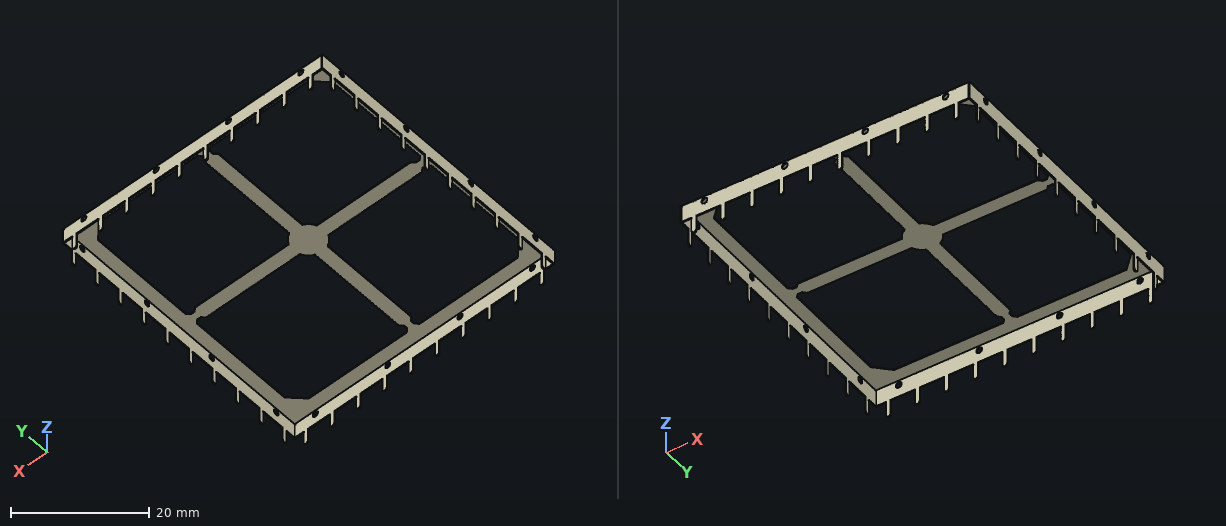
import cadquery as cq

side = 50.4
height = 6.1
sheet = 0.2
bend_radius = 0.25

wall_height = 3.2
wall_bottom = height - wall_height
corner_slit = 0.05
hole_diameter = 1.0
hole_pitch = 14.0
holes_per_wall = 4
hole_drop = 1.0

pins_per_wall = 10
pin_row_length = 45.7
pin_width = 0.8

rim_width = 2.5
opening_chamfer = 2.4
bar_width = 2.5
neck_width = 1.4
neck_length = 1.8
rim_corner = 0.5
hub_diameter = 6.0

cutter_overlap = 0.2
pin_overlap = 0.2

half_side = side / 2
half_opening = half_side - rim_width
half_bar = bar_width / 2
half_neck = neck_width / 2
neck_taper = half_bar - half_neck
inner_side = side - 2 * sheet
cutter_depth = sheet + 2 * cutter_overlap
pin_pitch = pin_row_length / (pins_per_wall - 1)


def row(count, pitch):
    """Evenly spaced places, centred on zero."""
    return [(i - (count - 1) / 2) * pitch for i in range(count)]


def on_four_sides(shape):
    """The shape together with its copies turned by quarter turns about the Z axis."""
    copies = cq.Workplane("XY")
    for quarter in range(4):
        copies = copies.add(shape.rotate((0, 0, 0), (0, 0, 1), 90 * quarter))
    return copies.combine()


def make_shell():
    """Square tray, open below, with a rounded bend around its top."""
    outside = (
        cq.Workplane("XY").workplane(offset=wall_bottom)
        .rect(side, side).extrude(wall_height)
        .faces(">Z").edges().fillet(bend_radius)
    )
    inside = (
        cq.Workplane("XY").workplane(offset=wall_bottom)
        .rect(inner_side, inner_side).extrude(wall_height - sheet)
    )
    return outside.cut(inside)


def make_openings():
    """Four windows that leave the rim, the necked cross bars and the round hub."""
    window = (
        cq.Workplane("XY").workplane(offset=height - cutter_overlap - sheet)
        .moveTo(half_bar, half_bar)
        .lineTo(half_opening - neck_length, half_bar)
        .lineTo(half_opening - neck_length + neck_taper, half_neck)
        .lineTo(half_opening - rim_corner, half_neck)
        .lineTo(half_opening, half_neck + rim_corner)
        .lineTo(half_opening, half_opening - opening_chamfer)
        .lineTo(half_opening - opening_chamfer, half_opening)
        .lineTo(half_neck + rim_corner, half_opening)
        .lineTo(half_neck, half_opening - rim_corner)
        .lineTo(half_neck, half_opening - neck_length + neck_taper)
        .lineTo(half_bar, half_opening - neck_length)
        .close().extrude(cutter_depth)
    )
    hub = (
        cq.Workplane("XY").workplane(offset=height - cutter_overlap - sheet)
        .circle(hub_diameter / 2).extrude(cutter_depth)
    )
    return on_four_sides(window.cut(hub))


def make_pins():
    """Round-tipped pins hanging from the -Y wall, flush with its faces."""
    tip_radius = pin_width / 2
    pin = (
        cq.Workplane("XZ", origin=(0, sheet - half_side, 0))
        .moveTo(-tip_radius, wall_bottom + pin_overlap)
        .lineTo(-tip_radius, tip_radius)
        .threePointArc((0, 0), (tip_radius, tip_radius))
        .lineTo(tip_radius, wall_bottom + pin_overlap)
        .close().extrude(sheet)
    )
    pins = cq.Workplane("XY")
    for x in row(pins_per_wall, pin_pitch):
        pins = pins.add(pin.translate((x, 0, 0)))
    return pins.combine()


def make_holes():
    """Round holes through the -Y wall, just below the top plate."""
    places = [(x, height - hole_drop) for x in row(holes_per_wall, hole_pitch)]
    return (
        cq.Workplane("XZ", origin=(0, sheet + cutter_overlap - half_side, 0))
        .pushPoints(places).circle(hole_diameter / 2).extrude(cutter_depth)
    )


def make_slits():
    """Corner slits that part the X-running walls from the Y-running walls below the bend."""
    return (
        cq.Workplane("XY").workplane(offset=wall_bottom)
        .rarray(inner_side - corner_slit, side - sheet, 2, 2)
        .rect(corner_slit, sheet).extrude(wall_height - bend_radius)
    )


result = (
    make_shell()
    .cut(make_openings())
    .union(on_four_sides(make_pins()))
    .cut(on_four_sides(make_holes()))
    .cut(make_slits())
)